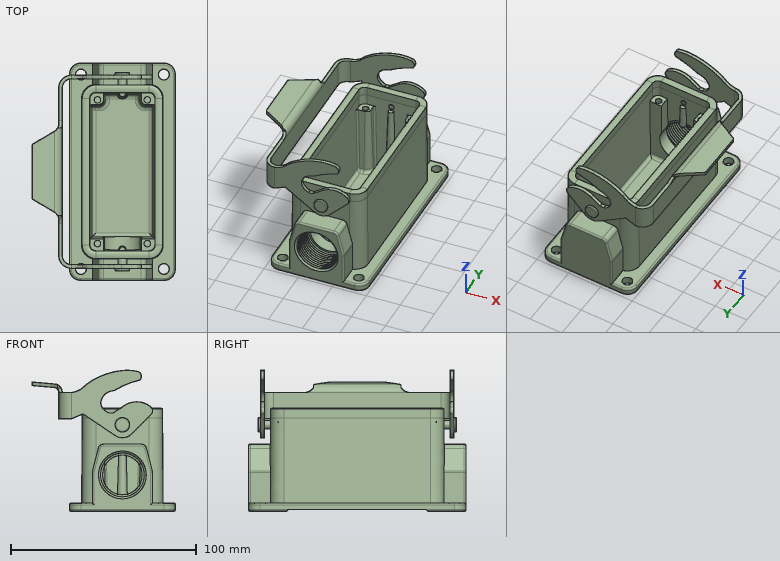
import cadquery as cq
import math

PLATE_X = 57.0
PLATE_Y = 117.0
PLATE_T = 4.5
PLATE_CORNER_R = 6.2
EDGE_R = 1.0
PLATE_HOLE_D = 5.7
FOOT_INNER_Y = 37.0
FOOT_H = 1.0

PARTING_Z = 50.2
RIM_EDGE_Z = 55.2
RIM_CROWN = 0.4
BOX_X = 43.3
BOX_Y = 93.4
BOX_CORNER_R = 7.4
WALL_T = 4.0
OUTER_DRAFT = 0.4
CAVITY_FLOOR_Z = 4.0
INNER_DRAFT = 1.9
FLOOR_R = 2.0

PILLAR_TOP_Z = 44.2
SCREW_X = 13.4
SCREW_Y = 38.65
SCREW_HOLE_D = 3.5
SCREW_HOLE_DEPTH = 12.0
PILLAR_INNER_X = 10.2
PILLAR_INNER_Y = 36.1
PILLAR_CORNER_R = 2.5
PILLAR_ROOT_R = 1.0
RIB_TOP_R = 1.6
RIB_FOOT_R = 2.9
RIB_Y = 42.0

BOSS_HALF_X = 16.2
BOSS_TOP_HALF_X = 12.4
BOSS_KNEE_Z = 21.4
BOSS_TOP_Z = 36.2
BOSS_CORNER_R = 3.0
ENTRY_Z = 19.6
ENTRY_D = 23.5
BORE_D = 21.3
THREAD_D = 25.0
THREAD_PITCH = 1.5
THREAD_LENGTH = 16.5
ENTRY_MOUTH_D = 25.7
ENTRY_OVERRUN = 3.0

SHEET_T = 2.0
LEVER_OUTER_Y = 52.0
STRAP_X = -34.3
STRAP_BEND_R = 7.0
STRAP_END_X = STRAP_X + STRAP_BEND_R
STRAP_BOTTOM_Z = 49.8
STRAP_TOP_Z = 64.0
PIVOT_Z = 46.6
PIVOT_EYE_R = 7.0

TAB_TIP_X = -48.56
TAB_BEND_R = 4.6
TAB_RISE = 5.0
TAB_TIP_HALF_Y = 14.7
TAB_ROOT_HALF_Y = 21.8
TAB_ROOT_X = -36.5
TAB_FLARE_HALF_Y = 27.7
TAB_FLARE_MID = (-34.9, 23.5)
TAB_SHOULDER_MID = (25.5, 0.8)
TAB_SHOULDER_TOP = (23.6, 2.4)
TAB_TIP_R = 1.0

PIN_SHAFT_D = 4.8
PIN_CORE_D = 3.0
PIN_CORE_INNER_Y = 42.4
PIN_HEAD_D = 7.8
PIN_HEAD_H = 1.3
PIN_HEAD_EDGE = 0.4


def draft_offset(angle, height):
    """Sideways travel of a drafted face over a height."""
    return height * math.tan(math.radians(angle))


def both_ends(shape):
    """The shape together with its mirror image at the other Y end."""
    return shape.union(shape.mirror("XZ"))


def y_cylinder(diameter, y_start, y_end, z):
    """A cylinder along Y at X = 0."""
    circle = cq.Workplane("XZ", origin=(0, y_start, z)).circle(diameter / 2)
    return circle.extrude(y_start - y_end)


def block(x_range, y_range, z_range):
    """A box given by its (low, high) limits on each axis."""
    size = [high - low for low, high in (x_range, y_range, z_range)]
    corner = (x_range[0], y_range[0], z_range[0])
    return cq.Workplane("XY", origin=corner).box(*size, centered=False)


def rounded_prism(size_x, size_y, corner_r, z_start, height, draft=0.0):
    sketch = cq.Sketch().rect(size_x, size_y).vertices().fillet(corner_r)
    plane = cq.Workplane("XY", origin=(0, 0, z_start)).placeSketch(sketch)
    return plane.extrude(height, taper=draft)


def downward_prism(size_x, size_y, corner_r, z_top, depth, draft):
    """A drafted prism that hangs below z_top; positive draft narrows it downwards."""
    prism = rounded_prism(size_x, size_y, corner_r, 0, depth, draft)
    return prism.mirror("XY").translate((0, 0, z_top))


def make_plate():
    plate = rounded_prism(PLATE_X, PLATE_Y, PLATE_CORNER_R, 0, PLATE_T)
    return plate.faces("<Z or >Z").edges().fillet(EDGE_R)


def cut_plate_details(body):
    recess = (
        cq.Workplane("YZ", origin=(-PLATE_X / 2, 0, 0))
        .moveTo(-FOOT_INNER_Y - FOOT_H, 0)
        .lineTo(-FOOT_INNER_Y, FOOT_H)
        .lineTo(FOOT_INNER_Y, FOOT_H)
        .lineTo(FOOT_INNER_Y + FOOT_H, 0)
        .close()
        .extrude(PLATE_X)
    )
    holes = (
        cq.Workplane("XY")
        .rect(PLATE_X - 2 * PLATE_CORNER_R, PLATE_Y - 2 * PLATE_CORNER_R, forConstruction=True)
        .vertices()
        .circle(PLATE_HOLE_D / 2)
        .extrude(PLATE_T)
    )
    return body.cut(recess).cut(holes)


def make_box():
    height = PARTING_Z - PLATE_T / 2
    drafted = downward_prism(BOX_X, BOX_Y, BOX_CORNER_R, PARTING_Z, height, -OUTER_DRAFT)
    rim = rounded_prism(BOX_X, BOX_Y, BOX_CORNER_R, PARTING_Z, RIM_EDGE_Z - PARTING_Z)
    return drafted.union(rim)


def make_crown():
    """The shallow convex bead that tops the rim."""
    mid_x = (BOX_X - WALL_T) / 2
    mid_y = (BOX_Y - WALL_T) / 2
    straight_x = BOX_X / 2 - BOX_CORNER_R
    straight_y = BOX_Y / 2 - BOX_CORNER_R
    arc_r = BOX_CORNER_R - WALL_T / 2
    path = (
        cq.Workplane("XY", origin=(0, 0, RIM_EDGE_Z))
        .moveTo(mid_x, 0)
        .lineTo(mid_x, straight_y)
        .radiusArc((straight_x, mid_y), -arc_r)
        .lineTo(-straight_x, mid_y)
        .radiusArc((-mid_x, straight_y), -arc_r)
        .lineTo(-mid_x, -straight_y)
        .radiusArc((-straight_x, -mid_y), -arc_r)
        .lineTo(straight_x, -mid_y)
        .radiusArc((mid_x, -straight_y), -arc_r)
        .close()
    )
    half = WALL_T / 2
    return (
        cq.Workplane("XZ", origin=(mid_x, 0, RIM_EDGE_Z))
        .moveTo(-half, 0)
        .threePointArc((0, RIM_CROWN), (half, 0))
        .close()
        .sweep(path)
    )


def make_rib():
    """The tapered half-round rib on the +Y inner wall; its far half sinks into the wall."""
    rib = cq.Solid.makeCone(RIB_FOOT_R, RIB_TOP_R, PILLAR_TOP_Z - CAVITY_FLOOR_Z)
    return cq.Workplane(obj=rib).translate((0, RIB_Y, CAVITY_FLOOR_Z))


def pillar_root_edges():
    """Selector for the upright edges where the +Y pillars meet the end and side walls."""
    reach = 1.0
    mid_z = (CAVITY_FLOOR_Z + PILLAR_TOP_Z) / 2
    wall_shift = draft_offset(INNER_DRAFT, PARTING_Z - mid_z)
    pillar_shift = draft_offset(INNER_DRAFT, PILLAR_TOP_Z - mid_z)
    wall_x = BOX_X / 2 - WALL_T - wall_shift
    wall_y = BOX_Y / 2 - WALL_T - wall_shift
    root_points = (
        (PILLAR_INNER_X - pillar_shift, wall_y),
        (wall_x, PILLAR_INNER_Y - pillar_shift),
    )
    selector = None
    for x, y in root_points:
        for side in (-1, 1):
            low = (side * x - reach, y - reach, mid_z - reach)
            high = (side * x + reach, y + reach, mid_z + reach)
            near_root = cq.selectors.BoxSelector(low, high)
            selector = near_root if selector is None else selector + near_root
    return selector


def make_cavity():
    """Tool for the inside of the box, shaped around the pillars, step and rib."""
    size_x = BOX_X - 2 * WALL_T
    size_y = BOX_Y - 2 * WALL_T
    corner_r = BOX_CORNER_R - WALL_T
    depth = PARTING_Z - CAVITY_FLOOR_Z
    drafted = downward_prism(size_x, size_y, corner_r, PARTING_Z, depth, INNER_DRAFT)
    mouth_height = RIM_EDGE_Z + RIM_CROWN - PARTING_Z
    straight = rounded_prism(size_x, size_y, corner_r, PARTING_Z, mouth_height)
    cavity = drafted.union(straight)

    pillar_depth = PILLAR_TOP_Z - CAVITY_FLOOR_Z
    pillar_x = BOX_X / 2 - PILLAR_INNER_X
    pillar_y = BOX_Y / 2 - PILLAR_INNER_Y
    pillar = downward_prism(
        2 * pillar_x, 2 * pillar_y, PILLAR_CORNER_R, PILLAR_TOP_Z, pillar_depth, -INNER_DRAFT
    )
    for side in (-1, 1):
        cavity = cavity.cut(pillar.translate((side * BOX_X / 2, BOX_Y / 2, 0)))

    step = downward_prism(BOX_X, 2 * pillar_y, PILLAR_CORNER_R, PILLAR_TOP_Z, pillar_depth, -INNER_DRAFT)
    cavity = cavity.cut(step.translate((0, -BOX_Y / 2, 0)))

    cavity = cavity.edges(pillar_root_edges()).fillet(PILLAR_ROOT_R)
    return cavity.faces("<Z").edges().fillet(FLOOR_R).cut(make_rib())


def make_entry_pocket():
    """The opening above the cable entry, between the two -Y pillars."""
    size_x = 2 * PILLAR_INNER_X
    depth = PILLAR_TOP_Z - ENTRY_Z
    wall_y = BOX_Y / 2 - WALL_T - draft_offset(INNER_DRAFT, PARTING_Z - PILLAR_TOP_Z)
    pocket_y = wall_y - PILLAR_INNER_Y
    top = cq.Workplane("XY").rect(size_x, 2 * pocket_y)
    pocket = top.extrude(depth, taper=INNER_DRAFT).mirror("XY")
    pocket = pocket.translate((0, -PILLAR_INNER_Y, PILLAR_TOP_Z))
    return pocket.cut(make_rib().mirror("XZ"))


def make_screw_holes():
    return (
        cq.Workplane("XY", origin=(0, 0, PILLAR_TOP_Z))
        .rect(2 * SCREW_X, 2 * SCREW_Y, forConstruction=True)
        .vertices()
        .circle(SCREW_HOLE_D / 2)
        .extrude(-SCREW_HOLE_DEPTH)
    )


def make_boss():
    """The -Y cable boss, running from the plate edge into the box wall."""
    length = (PLATE_Y - BOX_Y) / 2 + WALL_T / 2
    boss = (
        cq.Workplane("XZ", origin=(0, length - PLATE_Y / 2, 0))
        .moveTo(-BOSS_HALF_X, PLATE_T / 2)
        .lineTo(-BOSS_HALF_X, BOSS_KNEE_Z)
        .lineTo(-BOSS_TOP_HALF_X, BOSS_TOP_Z)
        .lineTo(BOSS_TOP_HALF_X, BOSS_TOP_Z)
        .lineTo(BOSS_HALF_X, BOSS_KNEE_Z)
        .lineTo(BOSS_HALF_X, PLATE_T / 2)
        .close()
        .extrude(length)
    )
    boss = boss.edges("|Y and >Z").fillet(BOSS_CORNER_R)
    knee_z = (BOSS_KNEE_Z - EDGE_R, BOSS_KNEE_Z + EDGE_R)
    knees = cq.selectors.BoxSelector((-PLATE_X, -PLATE_Y, knee_z[0]), (PLATE_X, PLATE_Y, knee_z[1]))
    boss = boss.edges("|Y").edges(knees).fillet(BOSS_CORNER_R)
    rounded = boss.faces("<Y").edges("not <Z").fillet(EDGE_R)
    sill = block(
        (-BOSS_HALF_X + EDGE_R, BOSS_HALF_X - EDGE_R),
        (-PLATE_Y / 2, -PLATE_Y / 2 + 2 * EDGE_R),
        (EDGE_R, PLATE_T),
    )
    return rounded.union(sill)


def make_entry():
    """Tool for the cable entry: plain bore, thread rings and a chamfered mouth."""
    face_y = -PLATE_Y / 2
    crest_r = ENTRY_D / 2
    groove = (THREAD_D - ENTRY_D) / 2
    mouth = (ENTRY_MOUTH_D - ENTRY_D) / 2
    inner_y = -PILLAR_INNER_Y + ENTRY_OVERRUN
    profile = cq.Workplane("XY").moveTo(0, face_y).lineTo(crest_r + mouth, face_y)
    profile = profile.lineTo(crest_r, face_y + mouth)
    ring_count = int((THREAD_LENGTH - mouth) / THREAD_PITCH)
    for ring in range(ring_count):
        start_y = face_y + mouth + ring * THREAD_PITCH
        profile = profile.lineTo(crest_r + groove, start_y + THREAD_PITCH / 2)
        profile = profile.lineTo(crest_r, start_y + THREAD_PITCH)
    thread_end_y = face_y + mouth + ring_count * THREAD_PITCH
    profile = profile.lineTo(BORE_D / 2, thread_end_y).lineTo(BORE_D / 2, inner_y)
    profile = profile.lineTo(0, inner_y).close()
    tool = profile.revolve(360, (0, 0, 0), (0, 1, 0))
    return tool.translate((0, 0, ENTRY_Z))


def eye_tangent(x, z, side):
    """Point where the line from (x, z) touches the pivot eye; side is the sense of turn."""
    dz = z - PIVOT_Z
    angle = math.atan2(dz, x) + side * math.acos(PIVOT_EYE_R / math.hypot(x, dz))
    return PIVOT_EYE_R * math.cos(angle), PIVOT_Z + PIVOT_EYE_R * math.sin(angle)


def make_lever_side():
    """The -Y side plate of the lever: hook above, cam nose and pivot eye below, as X, Z points."""
    heel = (-21.1, 52.4)
    cam = (15.7, 52.4)
    profile = (
        cq.Workplane("XZ", origin=(0, SHEET_T - LEVER_OUTER_Y, 0))
        .moveTo(STRAP_END_X, STRAP_BOTTOM_Z)
        .lineTo(STRAP_END_X, STRAP_TOP_Z)
        .threePointArc((-24.3, 64.8), (-21.5, 66.4))
        .lineTo(-19.2, 68.5)
        .threePointArc((-10.2, 73.4), (-0.4, 75.8))
        .threePointArc((3.2, 75.98), (8.3, 75.3))
        .threePointArc((10.2, 73.2), (9.4, 70.6))
        .threePointArc((2.2, 68.3), (-4.3, 65.0))
        .lineTo(-6.3, 64.6)
        .threePointArc((-10.2, 62.0), (-11.6, 58.3))
        .threePointArc((-10.4, 55.3), (-7.3, 53.0))
        .lineTo(-4.9, 53.0)
        .lineTo(0.6, 56.7)
        .threePointArc((7.6, 59.0), (15.4, 56.2))
        .threePointArc((16.2, 54.3), cam)
        .lineTo(*eye_tangent(*cam, -1))
        .threePointArc((0, PIVOT_Z - PIVOT_EYE_R), eye_tangent(*heel, 1))
        .lineTo(*heel)
        .close()
    )
    return profile.extrude(SHEET_T)


def make_strap():
    """The bent strap that joins both side plates."""
    height = STRAP_TOP_Z - STRAP_BOTTOM_Z
    loop_x = 4 * STRAP_BEND_R
    outer = rounded_prism(loop_x, 2 * LEVER_OUTER_Y, STRAP_BEND_R, STRAP_BOTTOM_Z, height)
    inner = rounded_prism(
        loop_x - 2 * SHEET_T,
        2 * (LEVER_OUTER_Y - SHEET_T),
        STRAP_BEND_R - SHEET_T,
        STRAP_BOTTOM_Z,
        height,
    )
    loop = outer.cut(inner).translate((STRAP_X + loop_x / 2, 0, 0))
    kept = block((STRAP_X, STRAP_END_X), (-LEVER_OUTER_Y, LEVER_OUTER_Y), (STRAP_BOTTOM_Z, STRAP_TOP_Z))
    return loop.intersect(kept)


def make_tab():
    """The grip tab: a sheet of constant width, bent outwards from the strap."""
    centre_x = STRAP_X + SHEET_T - TAB_BEND_R
    inner_r = TAB_BEND_R - SHEET_T
    rise = math.radians(TAB_RISE)
    end_angle = math.radians(90 - TAB_RISE)

    def bend_point(radius, angle):
        return centre_x + radius * math.cos(angle), STRAP_TOP_Z + radius * math.sin(angle)

    def tip_point(radius):
        x, z = bend_point(radius, math.radians(90) - rise)
        return TAB_TIP_X, z + (x - TAB_TIP_X) * math.tan(rise)

    return (
        cq.Workplane("XZ", origin=(0, TAB_FLARE_HALF_Y, 0))
        .moveTo(*bend_point(TAB_BEND_R, 0))
        .threePointArc(bend_point(TAB_BEND_R, end_angle / 2), bend_point(TAB_BEND_R, end_angle))
        .lineTo(*tip_point(TAB_BEND_R))
        .lineTo(*tip_point(inner_r))
        .lineTo(*bend_point(inner_r, end_angle))
        .threePointArc(bend_point(inner_r, end_angle / 2), bend_point(inner_r, 0))
        .close()
        .extrude(2 * TAB_FLARE_HALF_Y)
    )


def make_tab_outline():
    """Plan outline of the tab, wider where it flares into the strap."""
    strap_inner_x = STRAP_X + SHEET_T
    half = (
        cq.Workplane("XY", origin=(0, 0, STRAP_TOP_Z))
        .moveTo(TAB_TIP_X, 0)
        .lineTo(TAB_TIP_X, TAB_TIP_HALF_Y)
        .lineTo(TAB_ROOT_X, TAB_ROOT_HALF_Y)
        .threePointArc(TAB_FLARE_MID, (STRAP_X, TAB_FLARE_HALF_Y))
        .lineTo(strap_inner_x, TAB_FLARE_HALF_Y)
        .lineTo(strap_inner_x, 0)
        .close()
        .extrude(2 * TAB_BEND_R)
    )
    tip = half.faces("<X").edges("|Z and >Y").fillet(TAB_TIP_R)
    return both_ends(tip)


def make_tab_shoulders():
    """Outline of the tab root along X, with a concave shoulder down to the strap on each side."""
    half = (
        cq.Workplane("YZ", origin=(TAB_TIP_X, 0, STRAP_TOP_Z))
        .lineTo(TAB_FLARE_HALF_Y, 0)
        .threePointArc(TAB_SHOULDER_MID, TAB_SHOULDER_TOP)
        .lineTo(TAB_SHOULDER_TOP[0], 2 * TAB_BEND_R)
        .lineTo(0, 2 * TAB_BEND_R)
        .close()
        .extrude(-2 * TAB_TIP_X)
    )
    return both_ends(half)


def make_pin():
    """The -Y pivot pin: core in the box wall, shaft and riveted head."""
    mid_wall_y = (BOX_Y - WALL_T) / 2
    core = y_cylinder(PIN_CORE_D, -PIN_CORE_INNER_Y, -mid_wall_y, PIVOT_Z)
    shaft = y_cylinder(PIN_SHAFT_D, -mid_wall_y, -LEVER_OUTER_Y, PIVOT_Z)
    head = y_cylinder(PIN_HEAD_D, -LEVER_OUTER_Y, -LEVER_OUTER_Y - PIN_HEAD_H, PIVOT_Z)
    head = head.faces("<Y").edges().fillet(PIN_HEAD_EDGE)
    return core.union(shaft).union(head)


def make_housing():
    housing = make_plate().union(make_box()).union(make_crown()).union(both_ends(make_boss()))
    housing = housing.cut(make_cavity()).cut(make_entry_pocket()).cut(make_screw_holes())
    return cut_plate_details(housing.cut(make_entry()))


def make_lever():
    tab = make_tab().intersect(make_tab_outline()).intersect(make_tab_shoulders())
    return make_strap().union(both_ends(make_lever_side())).union(tab)


result = make_housing().union(make_lever()).union(both_ends(make_pin()))